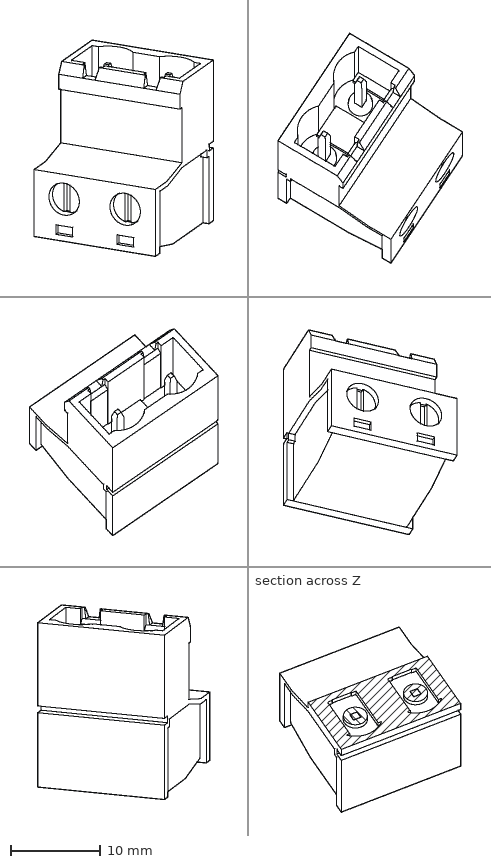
import cadquery as cq


WIDTH = 15.15
DEPTH = 15.0
HEIGHT = 19.2
POLE_PITCH = 7.62
POLES_X = (-POLE_PITCH / 2, POLE_PITCH / 2)

PLATE_THICKNESS = 1.17
PLATE_BOTTOM_Z = 0.6
SHOULDER_Z = 8.6
SHOULDER_Y = -12.02
SOCKET_WALL_Y = -8.12
SOCKET_WALL_Z = 9.56
LIP_Y = -8.64
LIP_BOTTOM_Z = 16.13
BEVEL_Y = -7.87
BEVEL_Z = 17.91
GROOVE_DEPTH = 1.1
GROOVE_BOTTOM_Z = 8.7
GROOVE_TOP_Z = 9.48

CORE_INSET = 0.75
CORE_BACK_Y = -1.17
CORE_STEP_Y = -1.69
CORE_STEP_Z = 8.06
CORE_TOP_Z = 8.99
CORE_SHOULDER_Y = -11.8
CORE_SHOULDER_Z = 8.0
CORE_FRONT_Y = PLATE_THICKNESS - DEPTH
CORE_FRONT_BOTTOM_Z = 1.11
CORE_BOTTOM_FRONT_Y = -8.99

PARTING_LINE = [
    (CORE_BACK_Y, 0),
    (CORE_BACK_Y, CORE_STEP_Z),
    (CORE_STEP_Y, CORE_STEP_Z),
    (CORE_STEP_Y, CORE_TOP_Z),
    (SOCKET_WALL_Y, CORE_TOP_Z),
    (CORE_SHOULDER_Y, CORE_SHOULDER_Z),
    (CORE_FRONT_Y, CORE_SHOULDER_Z),
]

CAVITY_WIDTH = 13.52
CAVITY_BACK_Y = -1.67
CAVITY_FRONT_Y = -7.07
LEDGE_Z = 10.56
FLOOR_Z = 9.98
PIN_Y = -3.8
LOBE_RADIUS = 3.03
CHANNEL_WIDTH = 3.55

NOTCH_TOP_WIDTH = 1.88
NOTCH_BOTTOM_WIDTH = 1.54
RAMP_WIDTH = 2.44
RAMP_OUTER_Y = -7.65
RAMP_INNER_Y = -7.15
RAMP_DROP = 0.5

PIN_SIZE = 1.0
PIN_TIP_SIZE = 0.54
PIN_TIP_Z = 18.2
PIN_TAPER = 1.05
COLLAR_DIAMETER = 2.75
COLLAR_HEIGHT = 1.0
COLLAR_FILLET = 0.5

SCREW_DIAMETER = 3.8
SCREW_Z = 5.65
SCREW_RECESS = 0.71
SCREW_LENGTH = 1.92
SCREW_FILLET = 0.29
SLOT_WIDTH = 0.75
SLOT_DEPTH = 0.77

WINDOW_WIDTH = 2.07
WINDOW_HEIGHT = 1.13
WINDOW_Z = 1.86
WINDOW_DEPTH = 0.52


def side_extrusion(points, width):
    """Extrude a (y, z) outline to the given width, centred on x = 0."""
    return cq.Workplane("YZ").polyline(points).close().extrude(width / 2, both=True)


def box(x, width, y_front, y_back, z_bottom, z_top):
    """Box centred on x, between the given y and z limits."""
    return (
        cq.Workplane("XY")
        .box(width, y_back - y_front, z_top - z_bottom, centered=(True, False, False))
        .translate((x, y_front, z_bottom))
    )


def make_shell_blank():
    """Full side outline of the shell, open below between the back flange and the front plate."""
    outline = [
        (0, 0),
        (0, GROOVE_BOTTOM_Z),
        (-GROOVE_DEPTH, GROOVE_BOTTOM_Z),
        (-GROOVE_DEPTH, GROOVE_TOP_Z),
        (0, GROOVE_TOP_Z),
        (0, HEIGHT),
        (BEVEL_Y, HEIGHT),
        (LIP_Y, BEVEL_Z),
        (LIP_Y, LIP_BOTTOM_Z),
        (SOCKET_WALL_Y, LIP_BOTTOM_Z),
        (SOCKET_WALL_Y, SOCKET_WALL_Z),
        (SHOULDER_Y, SHOULDER_Z),
        (-DEPTH, SHOULDER_Z),
        (-DEPTH, PLATE_BOTTOM_Z),
        (CORE_FRONT_Y, PLATE_BOTTOM_Z),
        *reversed(PARTING_LINE),
    ]
    return side_extrusion(outline, WIDTH)


def make_core_blank():
    """Core without screw holes; it leaves both sides of the shell overhanging."""
    outline = [
        *PARTING_LINE,
        (CORE_FRONT_Y, CORE_FRONT_BOTTOM_Z),
        (CORE_BOTTOM_FRONT_Y, 0),
    ]
    return side_extrusion(outline, WIDTH - 2 * CORE_INSET)


def lobe(x):
    """Rounded bay behind one pin, as deep as the channel floor."""
    disc = (
        cq.Workplane("XY", origin=(x, PIN_Y, FLOOR_Z))
        .circle(LOBE_RADIUS)
        .extrude(HEIGHT - FLOOR_Z)
    )
    return disc.intersect(box(x, 2 * LOBE_RADIUS, CAVITY_BACK_Y, 0, FLOOR_Z, HEIGHT))


def notch(x):
    """Tapered notch through the front rim."""
    outline = [
        (x - NOTCH_BOTTOM_WIDTH / 2, BEVEL_Z),
        (x + NOTCH_BOTTOM_WIDTH / 2, BEVEL_Z),
        (x + NOTCH_TOP_WIDTH / 2, HEIGHT),
        (x - NOTCH_TOP_WIDTH / 2, HEIGHT),
    ]
    return (
        cq.Workplane("XZ", origin=(0, CAVITY_FRONT_Y, 0))
        .polyline(outline)
        .close()
        .extrude(CAVITY_FRONT_Y - LIP_Y)
    )


def ramp_pocket(x):
    """Pocket in the inner face of the front rim; its floor ramps down to the cavity."""
    outline = [
        (CAVITY_FRONT_Y, HEIGHT),
        (RAMP_OUTER_Y, HEIGHT),
        (RAMP_OUTER_Y, BEVEL_Z),
        (RAMP_INNER_Y, BEVEL_Z - RAMP_DROP),
        (RAMP_INNER_Y, FLOOR_Z),
        (CAVITY_FRONT_Y, FLOOR_Z),
    ]
    return side_extrusion(outline, RAMP_WIDTH).translate((x, 0, 0))


def screw_cylinder(x, front_depth, length):
    """Cylinder on the screw axis that starts at a depth behind the front face."""
    return (
        cq.Workplane("XZ", origin=(x, front_depth - DEPTH, SCREW_Z))
        .circle(SCREW_DIAMETER / 2)
        .extrude(-length)
    )


def pin_hole(x):
    """Square hole for one pin through the floor of the socket."""
    return box(x, PIN_SIZE, PIN_Y - PIN_SIZE / 2, PIN_Y + PIN_SIZE / 2, CORE_TOP_Z, FLOOR_Z)


def window(x):
    """Shallow rectangular pocket in the front plate."""
    z_bottom = WINDOW_Z - WINDOW_HEIGHT / 2
    return box(x, WINDOW_WIDTH, -DEPTH, WINDOW_DEPTH - DEPTH, z_bottom, z_bottom + WINDOW_HEIGHT)


def make_shell():
    """Shell with the socket on top and the screw holes and windows in the front plate."""
    body = make_shell_blank()
    body = body.cut(box(0, CAVITY_WIDTH, CAVITY_FRONT_Y, CAVITY_BACK_Y, LEDGE_Z, HEIGHT))
    for x in POLES_X:
        body = body.cut(lobe(x))
        body = body.cut(box(x, CHANNEL_WIDTH, CAVITY_FRONT_Y, CAVITY_BACK_Y, FLOOR_Z, HEIGHT))
        body = body.cut(notch(x))
        body = body.cut(ramp_pocket(x))
        body = body.cut(pin_hole(x))
        body = body.cut(screw_cylinder(x, 0, PLATE_THICKNESS))
        body = body.cut(window(x))
    return body


def make_core():
    """Core with a blind hole for each screw."""
    body = make_core_blank()
    for x in POLES_X:
        body = body.cut(screw_cylinder(x, SCREW_RECESS, SCREW_LENGTH))
    return body


def make_pin(x):
    """Square pin that stands on the core, passes through the shell floor and tapers at its tip."""
    shoulder_z = PIN_TIP_Z - PIN_TAPER
    shaft = (
        cq.Workplane("XY", origin=(x, PIN_Y, CORE_TOP_Z))
        .rect(PIN_SIZE, PIN_SIZE)
        .extrude(shoulder_z - CORE_TOP_Z)
    )
    tip = (
        cq.Workplane("XY", origin=(x, PIN_Y, shoulder_z))
        .rect(PIN_SIZE, PIN_SIZE)
        .workplane(offset=PIN_TAPER)
        .rect(PIN_TIP_SIZE, PIN_TIP_SIZE)
        .loft(ruled=True)
    )
    return shaft.union(tip)


def make_collar(x):
    """Round-edged collar on the channel floor, with a square hole for the pin."""
    return (
        cq.Workplane("XY", origin=(x, PIN_Y, FLOOR_Z))
        .circle(COLLAR_DIAMETER / 2)
        .extrude(COLLAR_HEIGHT)
        .faces(">Z")
        .edges()
        .fillet(COLLAR_FILLET)
        .faces(">Z")
        .workplane()
        .rect(PIN_SIZE, PIN_SIZE)
        .cutThruAll()
    )


def make_screw(x):
    """Slotted screw, sunk behind the front face."""
    face_y = SCREW_RECESS - DEPTH
    body = screw_cylinder(x, SCREW_RECESS, SCREW_LENGTH).faces("<Y").edges().fillet(SCREW_FILLET)
    slot = box(
        x,
        SLOT_WIDTH,
        face_y,
        face_y + SLOT_DEPTH,
        SCREW_Z - SCREW_DIAMETER / 2,
        SCREW_Z + SCREW_DIAMETER / 2,
    )
    return body.cut(slot)


shell = make_shell()
core = make_core()
pins = [make_pin(x).val() for x in POLES_X]
collars = [make_collar(x).val() for x in POLES_X]
screws = [make_screw(x).val() for x in POLES_X]

result = cq.Compound.makeCompound([shell.val(), core.val(), *pins, *collars, *screws])